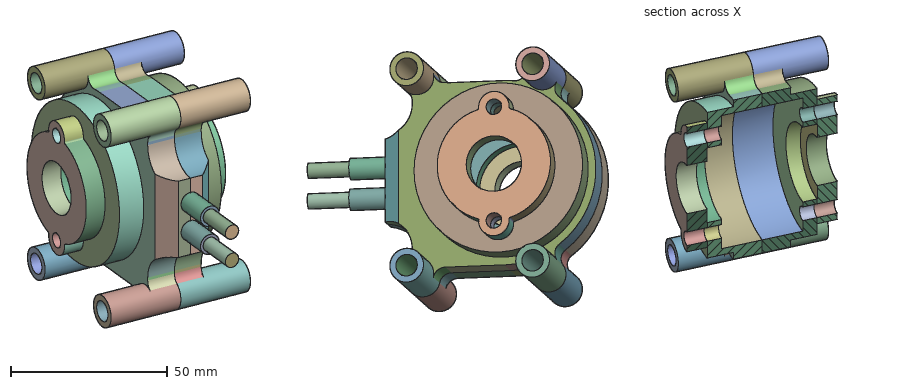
import cadquery as cq
import math


rim_radius = 30.0
plate_depth = 10.0
neck_half_height = 13.5
neck_corner_radius = 10.0
neck_end = rim_radius + neck_corner_radius
neck_chamfer = 5.5
drum_diameter = 55.0
drum_end = 19.0
cavity_diameter = 50.0
end_wall = 5.0
end_opening_diameter = 28.0

tube_diameter = 11.0
tube_bore_diameter = 7.0
tube_left = -12.7
tube_right = 28.5
overall_height = 75.0
tube_height = (overall_height - tube_diameter) / 2
tube_blend_radius = 3.55
top_blend_radius = 4.0

hub_diameter = 37.0
hub_end = 26.0
shaft_bore_diameter = 18.0
ear_radius = 5.0
ear_hole_diameter = 5.0
ear_root_fillet = 0.6
ear_offset = hub_diameter / 2

sleeve_diameter = 7.0
sleeve_end = 52.1
wire_diameter = 5.0
wire_end = 65.9
cable_offset = 5.0

tolerance = 0.01

tube_centres = [(x, side * tube_height) for x in (tube_left, tube_right) for side in (-1, 1)]
ear_centres = [(0, ear_offset), (0, -ear_offset)]


def sketch_plane(y):
    """Plane facing -Y at the given Y, with local x along +X and local y along +Z."""
    return cq.Workplane("XZ", origin=(0, y, 0))


def toward(start, end, distance):
    """Point at a distance from start on the line to end."""
    length = math.dist(start, end)
    return tuple(s + (e - s) * distance / length for s, e in zip(start, end))


def rim_blend_centre(side):
    """Centre of the blend that touches the round rim and the upper left tube on one side of it."""
    tube = (tube_left, tube_height)
    to_rim = rim_radius + tube_blend_radius
    to_tube = tube_diameter / 2 + tube_blend_radius
    span = math.hypot(*tube)
    along = (to_rim**2 - to_tube**2 + span**2) / (2 * span)
    across = side * math.sqrt(to_rim**2 - along**2)
    unit_x, unit_z = tube[0] / span, tube[1] / span
    return (along * unit_x - across * unit_z, along * unit_z + across * unit_x)


def arc_middle(centre, start, end):
    """Middle of the short arc around a centre between two of its points."""
    chord_middle = ((start[0] + end[0]) / 2, (start[1] + end[1]) / 2)
    return toward(centre, chord_middle, math.dist(centre, start))


def upper_outline():
    """Upper half of the plate outline, closed along the X axis; tubes cover its corners."""
    left_tube = (tube_left, tube_height)
    right_tube = (tube_right, tube_height)
    origin = (0, 0)

    outer_blend = rim_blend_centre(1)
    outer_start = toward(outer_blend, origin, tube_blend_radius)
    outer_end = toward(outer_blend, left_tube, tube_blend_radius)
    inner_blend = rim_blend_centre(-1)
    inner_start = toward(inner_blend, left_tube, tube_blend_radius)
    inner_end = toward(inner_blend, origin, tube_blend_radius)

    top_reach = tube_diameter / 2 + top_blend_radius
    top_blend_z = rim_radius + top_blend_radius
    top_blend = (tube_right - math.sqrt(top_reach**2 - (tube_height - top_blend_z) ** 2), top_blend_z)
    top_start = (top_blend[0], rim_radius)
    top_end = toward(top_blend, right_tube, top_blend_radius)

    side_reach = tube_diameter / 2 + tube_blend_radius
    side_blend_x = rim_radius + tube_blend_radius
    side_blend = (side_blend_x, tube_height - math.sqrt(side_reach**2 - (side_blend_x - tube_right) ** 2))
    side_start = toward(side_blend, right_tube, tube_blend_radius)
    side_end = (rim_radius, side_blend[1])

    neck_corner = (rim_radius + neck_corner_radius, neck_half_height + neck_corner_radius)
    neck_arc_start = (rim_radius, neck_corner[1])
    neck_arc_end = (neck_corner[0], neck_half_height)

    rim_middle = toward(origin, (outer_start[0] - rim_radius, outer_start[1]), rim_radius)
    rim_top = (0, rim_radius)
    rim_top_middle = toward(origin, (inner_end[0] / 2, rim_radius), rim_radius)
    return (
        sketch_plane(0)
        .moveTo(-rim_radius, 0)
        .threePointArc(rim_middle, outer_start)
        .threePointArc(arc_middle(outer_blend, outer_start, outer_end), outer_end)
        .lineTo(*left_tube)
        .lineTo(*inner_start)
        .threePointArc(arc_middle(inner_blend, inner_start, inner_end), inner_end)
        .threePointArc(rim_top_middle, rim_top)
        .lineTo(*top_start)
        .threePointArc(arc_middle(top_blend, top_start, top_end), top_end)
        .lineTo(*right_tube)
        .lineTo(*side_start)
        .threePointArc(arc_middle(side_blend, side_start, side_end), side_end)
        .lineTo(*neck_arc_start)
        .threePointArc(arc_middle(neck_corner, neck_arc_start, neck_arc_end), neck_arc_end)
        .lineTo(neck_end, 0)
        .close()
    )


def make_plate():
    upper = upper_outline().extrude(plate_depth)
    plate = upper.union(upper.mirror("XY"))
    taper = (
        cq.Workplane("XY", origin=(0, 0, -rim_radius))
        .moveTo(neck_end - neck_chamfer, -plate_depth)
        .lineTo(neck_end, -plate_depth)
        .lineTo(neck_end, neck_chamfer - plate_depth)
        .close()
        .extrude(2 * rim_radius)
    )
    return plate.cut(taper)


def make_front_housing():
    """Housing half on the -Y side of the split plane."""
    drum = sketch_plane(0).circle(drum_diameter / 2).extrude(drum_end)
    tubes = sketch_plane(0).pushPoints(tube_centres).circle(tube_diameter / 2).extrude(hub_end)
    body = make_plate().union(drum).union(tubes)

    cavity = sketch_plane(0).circle(cavity_diameter / 2).extrude(drum_end - end_wall)
    end_opening = sketch_plane(0).circle(end_opening_diameter / 2).extrude(drum_end)
    ear_holes = sketch_plane(0).pushPoints(ear_centres).circle(ear_hole_diameter / 2).extrude(drum_end)
    tube_bores = sketch_plane(0).pushPoints(tube_centres).circle(tube_bore_diameter / 2).extrude(hub_end)
    return body.cut(cavity).cut(end_opening).cut(ear_holes).cut(tube_bores)


def is_ear_root(edge):
    """True for an edge along Y where the side of an ear meets the round side of the hub."""
    middle = edge.Center()
    on_hub_rim = abs(math.hypot(middle.x, middle.z) - hub_diameter / 2) < tolerance
    beside_ear = abs(middle.x) < ear_radius + tolerance
    return on_hub_rim and beside_ear


def make_front_hub():
    """Eared hub on the -Y end face of the drum."""
    length = hub_end - drum_end
    base = sketch_plane(-drum_end)
    disc = base.circle(hub_diameter / 2).extrude(length)
    ears = base.pushPoints(ear_centres).circle(ear_radius).extrude(length)
    shaft_bore = base.circle(shaft_bore_diameter / 2).extrude(length)
    ear_holes = base.pushPoints(ear_centres).circle(ear_hole_diameter / 2).extrude(length)
    eared_disc = disc.union(ears)
    roots = eared_disc.edges("|Y").filter(is_ear_root)
    return roots.fillet(ear_root_fillet).cut(shaft_bore).cut(ear_holes)


def make_cable(z):
    """Cable with its sleeve, starting on the neck's flat face at the given height."""
    sleeve = cq.Workplane("YZ", origin=(neck_end, 0, z)).circle(sleeve_diameter / 2)
    wire = cq.Workplane("YZ", origin=(sleeve_end, 0, z)).circle(wire_diameter / 2)
    return sleeve.extrude(sleeve_end - neck_end).union(wire.extrude(wire_end - sleeve_end))


front_housing = make_front_housing()
front_hub = make_front_hub()
housings = [front_housing, front_housing.mirror("XZ")]
hubs = [front_hub, front_hub.mirror("XZ")]
cables = [make_cable(z) for z in (cable_offset, -cable_offset)]

result = cq.Compound.makeCompound([body.val() for body in housings + hubs + cables])